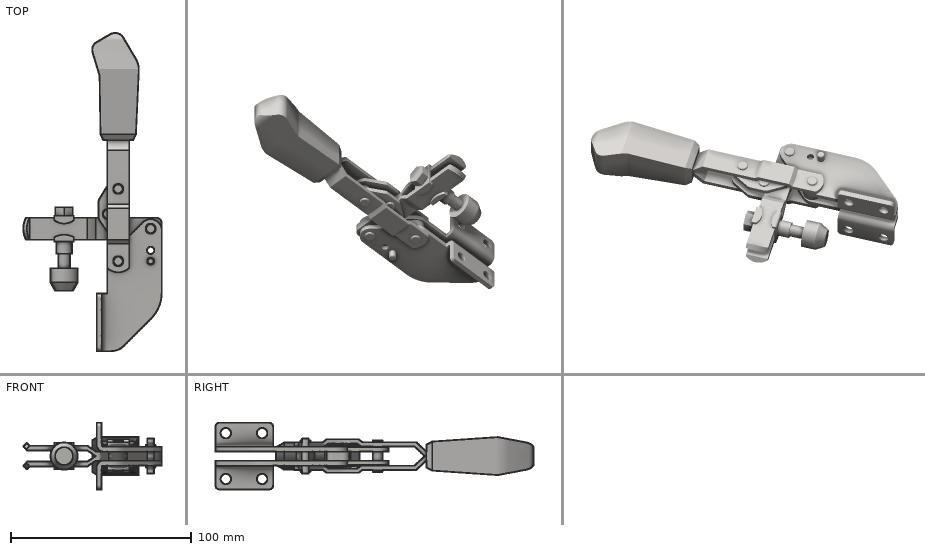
import cadquery as cq
import math


base_pivot = (18.0, 0)
lever_pivot = (0, -18.0)
link_pivot = (0, 0)
link_top = (0, 22.0)
link_rivet = (-5.8, 8.1)
rivet_radius = 2.8
rivet_head = 1.0
rim_bevel = 0.4

arm_half = 2.5
base_sheet = 2.8
link_sheet = 2.5
lever_sheet = 2.5
base_top = arm_half + base_sheet
link_outer = arm_half + link_sheet
lever_inner = base_top
lever_outer = lever_inner + lever_sheet
bar_half = 6.2
sin45 = math.sqrt(0.5)

base_bottom = -68.0
base_corner_radius = 6.2
base_corner_drop = 0.9
base_slant_level = 68.1
base_side_radius = 20.1
base_foot_radius = 9.9
flange_top = -35.8
flange_face = -12.0
flange_reach = 18.5
bend_radius = 1.0
flange_corner_radius = 2.3
flange_hole_radius = 2.8
flange_hole_ys = (-42.0, -62.1)
flange_hole_z = 12.7
spacer_radius = 5.1
side_hole_radius = 2.0
side_hole_y = -12.0
stop_pin_radius = 2.0
stop_pin_reach = 9.9

fork_sheet = 2.8
fork_inner = 3.0
fork_outer = fork_inner + fork_sheet
fork_split = -12.4
fork_spread = -17.1
flare_start = -50.3
flare_length = 3.4
arm_tip_radius = 9.4
arm_end_radius = 3.4

link_end_radius = 6.0
link_bulge_x = -11.0
link_bulge_top = 15.7
link_bulge_bottom = 5.5
link_bulge_radius = 3.5

lever_end = -24.2
lever_end_corner = -21.7
bulge_rise = 1.6
bulge_top = 11.5
bulge_bottom = -6.2
bulge_slope = 2.1
lever_vee_start = 43.5
lever_top = 49.0

grip_lip = 52.5
grip_ridge = 88.6
grip_shoulder = 104.5
grip_top = 108.5
grip_mouth_half_width = 8.3
grip_lip_half_width = 9.9
grip_mouth_half_depth = 6.4
grip_lip_half_depth = 8.1
grip_ridge_half_depth = 10.6
grip_shoulder_half_depth = 7.6
grip_top_half_depth = 5.0
grip_back = (11.6, 91.0)
grip_crown = (0.2, 110.5)
grip_nose = (-15.4, 101.5)
grip_throat = (-10.5, 84.9)
grip_bend_radius = 12.4
grip_crown_radius = 5.3
grip_nose_radius = 5.0

spindle_x = -30.0
head_flats = 9.9
head_top = 12.0
washer_half_width = 5.5
washer_half_depth = 7.5
washer_floor = 1.0
washer_lug_edge = 4.8
upper_lug_tip = 2.8
lower_lug_tip = 3.4
washer_bend_radius = 1.0
screw_radius = 3.4
neck_radius = 2.8
collar_radius = 4.5
collar_bottom = -13.8
tip_top = -21.9
tip_cone_top = -29.7
tip_bottom = -34.5
tip_radius = 7.6
tip_end_radius = 5.0


def mirrored(body):
    """The body together with its mirror image below Z = 0."""
    return body.union(body.mirror("XY"))


def cross_pin(place, radius, reach):
    """Cylinder along Z, reaching equally far above and below Z = 0."""
    return cq.Workplane("XY", origin=(*place, -reach)).circle(radius).extrude(2 * reach)


def rivet(place, reach):
    """Rivet along Z whose two heads have bevelled rims."""
    return cross_pin(place, rivet_radius, reach).faces("|Z").chamfer(rim_bevel)


def rod_along_y(radius, bottom, top):
    """Cylinder on the spindle axis."""
    return cq.Workplane("XZ", origin=(spindle_x, bottom, 0)).circle(radius).extrude(bottom - top)


def round_corner(body, corner, radius):
    """Fillet the one edge along Z that passes nearest to the given corner."""
    nearest = cq.selectors.NearestToPointSelector((*corner, body.val().Center().z))
    return body.edges("|Z").edges(nearest).fillet(radius)


def base_plate():
    right = base_pivot[0] + base_corner_radius
    corner_lift = base_corner_radius * sin45
    upper = (base_pivot[0], base_pivot[1] - base_corner_drop)
    lower = (lever_pivot[0], lever_pivot[1] - base_corner_drop)
    bend_end = flange_face + base_sheet + bend_radius
    cos_lift = base_corner_radius * math.cos(math.pi / 8)
    sin_lift = base_corner_radius * math.sin(math.pi / 8)
    plate = (
        cq.Workplane("XY", origin=(0, 0, arm_half))
        .moveTo(right, upper[1])
        .threePointArc(
            (upper[0] + sin_lift, upper[1] + cos_lift),
            (upper[0] - corner_lift, upper[1] + corner_lift),
        )
        .lineTo(lower[0] - corner_lift, lower[1] + corner_lift)
        .threePointArc(
            (lower[0] - cos_lift, lower[1] + sin_lift),
            (lower[0] - base_corner_radius, lower[1]),
        )
        .lineTo(lower[0] - base_corner_radius, flange_top)
        .lineTo(bend_end, flange_top)
        .lineTo(bend_end, base_bottom)
        .lineTo(base_slant_level + base_bottom, base_bottom)
        .lineTo(right, right - base_slant_level)
        .close()
        .extrude(base_sheet)
    )
    plate = round_corner(plate, (base_slant_level + base_bottom, base_bottom), base_foot_radius)
    return round_corner(plate, (right, right - base_slant_level), base_side_radius)


def flange():
    outer_radius = bend_radius + base_sheet
    back = flange_face + base_sheet
    bend_x = back + bend_radius
    bend_z = base_top + bend_radius
    angle_bar = (
        cq.Workplane("XZ", origin=(0, flange_top, 0))
        .moveTo(bend_x, arm_half)
        .threePointArc(
            (bend_x - outer_radius * sin45, bend_z - outer_radius * sin45),
            (flange_face, bend_z),
        )
        .lineTo(flange_face, flange_reach)
        .lineTo(back, flange_reach)
        .lineTo(back, bend_z)
        .threePointArc(
            (bend_x - bend_radius * sin45, bend_z - bend_radius * sin45),
            (bend_x, base_top),
        )
        .close()
        .extrude(flange_top - base_bottom)
    )
    angle = angle_bar.edges("|X and >Z").fillet(flange_corner_radius)
    holes = (
        cq.Workplane("YZ", origin=(flange_face, 0, 0))
        .pushPoints([(y, flange_hole_z) for y in flange_hole_ys])
        .circle(flange_hole_radius)
        .extrude(base_sheet)
    )
    return angle.cut(holes)


def make_base():
    plates = mirrored(base_plate().union(flange()))
    plates = plates.cut(cross_pin((base_pivot[0], side_hole_y), side_hole_radius, base_top))
    stop_pin = cross_pin((base_pivot[0], lever_pivot[1]), stop_pin_radius, stop_pin_reach)
    stop_pin = stop_pin.faces("|Z").chamfer(rim_bevel)
    return (
        plates.union(cross_pin(lever_pivot, spacer_radius, arm_half))
        .union(rivet(lever_pivot, lever_outer + rivet_head))
        .union(rivet(base_pivot, base_top + rivet_head))
        .union(stop_pin)
    )


def tip_waste():
    """What lies outside the rounded end of the flared tip, square to the flare."""
    flare_step = flare_length * sin45
    tip = cq.Plane(
        origin=(flare_start - flare_step, 0, fork_inner + flare_step),
        xDir=(-1, 0, 1),
        normal=(1, 0, 1),
    )
    sagitta = arm_tip_radius - math.sqrt(arm_tip_radius**2 - bar_half**2)
    return (
        cq.Workplane(tip)
        .moveTo(-sagitta, -bar_half)
        .threePointArc((0, 0), (-sagitta, bar_half))
        .lineTo(fork_sheet, bar_half)
        .lineTo(fork_sheet, -bar_half)
        .close()
        .extrude(fork_sheet)
    )


def make_arm():
    right = base_pivot[0] + bar_half
    flare_step = flare_length * sin45
    flare_sheet = fork_sheet * sin45
    bend_shift = fork_sheet * math.tan(math.pi / 8)
    prong = (
        cq.Workplane("XZ", origin=(0, bar_half, 0))
        .polyline([
            (right, 0),
            (fork_split, 0),
            (fork_spread, fork_inner),
            (flare_start, fork_inner),
            (flare_start - flare_step, fork_inner + flare_step),
            (flare_start - flare_step + flare_sheet, fork_inner + flare_step + flare_sheet),
            (flare_start + bend_shift, fork_outer),
            (fork_spread, fork_outer),
            (fork_split, arm_half),
            (right, arm_half),
        ])
        .close()
        .extrude(2 * bar_half)
    )
    arm = mirrored(prong.cut(tip_waste())).edges("|Z and >X").fillet(arm_end_radius)
    for joint in (base_pivot, link_pivot):
        arm = arm.cut(cross_pin(joint, rivet_radius, arm_half))
    return arm


def make_link():
    r = link_end_radius
    top_corner = (link_bulge_x, link_bulge_top)
    low_corner = (link_bulge_x, link_bulge_bottom)

    def touch(centre, outside, turn):
        """Point where a straight edge from an outside corner touches an end circle."""
        dx, dy = outside[0] - centre[0], outside[1] - centre[1]
        angle = math.atan2(dy, dx) + turn * math.acos(r / math.hypot(dx, dy))
        return (centre[0] + r * math.cos(angle), centre[1] + r * math.sin(angle))

    plate = (
        cq.Workplane("XY", origin=(0, 0, arm_half))
        .moveTo(link_top[0] + r, link_top[1])
        .threePointArc((link_top[0], link_top[1] + r), touch(link_top, top_corner, -1))
        .lineTo(*top_corner)
        .lineTo(*low_corner)
        .lineTo(*touch(link_pivot, low_corner, 1))
        .threePointArc((link_pivot[0], link_pivot[1] - r), (link_pivot[0] + r, link_pivot[1]))
        .close()
        .extrude(link_sheet)
    )
    plate = plate.edges("|Z and <X").fillet(link_bulge_radius)
    head = cq.Workplane("XY", origin=(*link_rivet, link_outer)).circle(rivet_radius).extrude(rivet_head)
    head = head.faces(">Z").chamfer(rim_bevel)
    return (
        mirrored(plate.union(head))
        .union(rivet(link_top, lever_outer + rivet_head))
        .union(cross_pin(link_pivot, rivet_radius, link_outer))
    )


def make_lever():
    slope_angle = math.atan2(bulge_rise, bulge_slope)
    bend_shift = lever_sheet * math.tan(slope_angle / 2)
    vee_run = lever_top - lever_vee_start
    vee_slope = (lever_outer - lever_sheet) / vee_run
    vee_shift = lever_sheet * math.tan(math.atan(vee_slope) / 2)
    vee_inner_start = lever_vee_start - vee_shift
    strap = (
        cq.Workplane("YZ", origin=(-bar_half, 0, 0))
        .polyline([
            (lever_top, 0),
            (lever_top, lever_sheet),
            (lever_vee_start, lever_outer),
            (bulge_top + bulge_slope, lever_outer),
            (bulge_top, lever_outer + bulge_rise),
            (bulge_bottom, lever_outer + bulge_rise),
            (bulge_bottom - bulge_slope, lever_outer),
            (lever_end, lever_outer),
            (lever_end, lever_inner),
            (bulge_bottom - bulge_slope + bend_shift, lever_inner),
            (bulge_bottom + bend_shift, lever_inner + bulge_rise),
            (bulge_top - bend_shift, lever_inner + bulge_rise),
            (bulge_top + bulge_slope - bend_shift, lever_inner),
            (vee_inner_start, lever_inner),
            (vee_inner_start + lever_inner / vee_slope, 0),
        ])
        .close()
        .extrude(2 * bar_half)
    )
    plan = (
        cq.Workplane("XY")
        .moveTo(bar_half, lever_top)
        .lineTo(-bar_half, lever_top)
        .lineTo(-bar_half, lever_end_corner)
        .threePointArc((0, lever_end), (bar_half, lever_end_corner))
        .close()
        .extrude(lever_outer + bulge_rise, both=True)
    )
    lever = mirrored(strap).intersect(plan)
    for joint in (lever_pivot, link_top):
        lever = lever.cut(cross_pin(joint, rivet_radius, lever_outer))
    return lever


def make_grip():
    plan = (
        cq.Workplane("XY")
        .polyline([
            (-grip_mouth_half_width, lever_top),
            (grip_mouth_half_width, lever_top),
            (grip_lip_half_width, grip_lip),
            grip_back,
            grip_crown,
            grip_nose,
            grip_throat,
            (-grip_lip_half_width, grip_lip),
        ])
        .close()
        .extrude(grip_ridge_half_depth, both=True)
    )
    plan = round_corner(plan, grip_back, grip_bend_radius)
    plan = round_corner(plan, grip_crown, grip_crown_radius)
    plan = round_corner(plan, grip_nose, grip_nose_radius)
    profile = (
        cq.Workplane("YZ", origin=(grip_nose[0], 0, 0))
        .moveTo(lever_top, 0)
        .lineTo(lever_top, grip_mouth_half_depth)
        .lineTo(grip_lip, grip_lip_half_depth)
        .lineTo(grip_ridge, grip_ridge_half_depth)
        .lineTo(grip_shoulder, grip_shoulder_half_depth)
        .tangentArcPoint((grip_top, grip_top_half_depth), relative=False)
        .lineTo(grip_top, 0)
        .close()
        .extrude(grip_back[0] - grip_nose[0])
    )
    return plan.intersect(mirrored(profile))


def flanged_washer(lug_tip):
    """Channel over both prongs, with lugs that reach down to the height lug_tip."""
    top = bar_half + washer_floor
    block = (
        cq.Workplane("XY")
        .box(2 * washer_half_width, top - lug_tip, 2 * washer_half_depth, centered=(True, False, True))
        .translate((spindle_x, lug_tip, 0))
    )
    plan = (
        cq.Workplane("XY")
        .moveTo(spindle_x - washer_half_width, top)
        .lineTo(spindle_x - washer_half_width, washer_lug_edge)
        .threePointArc((spindle_x, lug_tip), (spindle_x + washer_half_width, washer_lug_edge))
        .lineTo(spindle_x + washer_half_width, top)
        .close()
        .extrude(washer_half_depth, both=True)
    )
    room = (
        cq.Workplane("XY")
        .box(2 * washer_half_width, 2 * bar_half, 2 * fork_outer)
        .translate((spindle_x, 0, 0))
    )
    return block.intersect(plan).cut(room)


def make_spindle():
    upper_washer = flanged_washer(upper_lug_tip)
    lower_washer = flanged_washer(lower_lug_tip).edges("|X and >Y").fillet(washer_bend_radius).mirror("XZ")
    washer_top = bar_half + washer_floor
    head = (
        cq.Workplane("XZ", origin=(spindle_x, washer_top, 0))
        .polygon(6, head_flats / math.cos(math.pi / 6))
        .extrude(washer_top - head_top)
        .rotate((spindle_x, 0, 0), (spindle_x, 1, 0), 30)
    )
    return (
        upper_washer.union(lower_washer)
        .union(head)
        .union(rod_along_y(neck_radius, -washer_top, washer_top))
        .union(rod_along_y(collar_radius, collar_bottom, -washer_top))
        .union(rod_along_y(screw_radius, tip_top, collar_bottom))
    )


def make_tip():
    return (
        cq.Workplane("XY", origin=(spindle_x, 0, 0))
        .polyline([
            (0, tip_top),
            (tip_radius, tip_top),
            (tip_radius, tip_cone_top),
            (tip_end_radius, tip_bottom),
            (0, tip_bottom),
        ])
        .close()
        .revolve(360, (0, 0), (0, 1))
    )


base = make_base()
arm = make_arm()
link = make_link()
lever = make_lever()
grip = make_grip()
spindle = make_spindle()
tip = make_tip()

result = cq.Compound.makeCompound([
    body.solids().val() for body in (base, arm, link, lever, grip, spindle, tip)
])